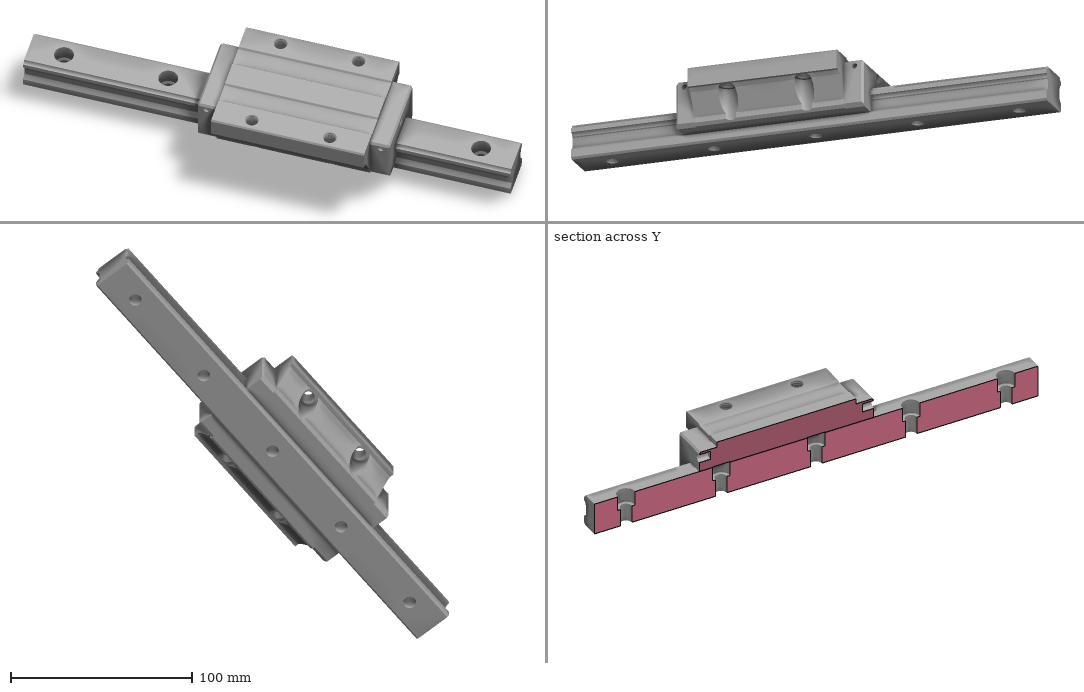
import cadquery as cq


RAIL_LENGTH = 280.0
RAIL_HEIGHT = 20.2
RAIL_HALF_WIDTH = 11.5
RAIL_NECK_HALF_WIDTH = 9.0
RAIL_BASE_CHAMFER = 1.0
RAIL_BASE_TOP_Z = 5.3
RAIL_NECK_BOTTOM_Z = 7.5
BALL_GROOVE_RADIUS = 2.0
LOWER_GROOVE_CENTER_Z = 13.7
RAIL_HOLE_COUNT = 5
RAIL_HOLE_PITCH = 60.0
RAIL_HOLE_DIAMETER = 7.0
COUNTERBORE_DIAMETER = 11.0
COUNTERBORE_DEPTH = 9.0

CARRIAGE_CENTER_X = 18.8
CARRIAGE_LENGTH = 110.3
CARRIAGE_BOTTOM_Z = 6.0

BLOCK_LENGTH = 88.0
BLOCK_HALF_WIDTH = 35.0
BLOCK_TOP_Z = 36.0
BLOCK_TOP_CHAMFER = 0.8
FLANGE_BOTTOM_Z = 25.0
FLANGE_ROOT_HALF_WIDTH = 32.8
SLOPE_TOP_HALF_WIDTH = 30.8
SLOPE_TOP_Z = 23.0
SKIRT_HALF_WIDTH = 23.8
SKIRT_TOP_Z = 10.5
SKIRT_BOTTOM_CHAMFER = 1.7

GROOVE_INNER_Y = 7.3
GROOVE_OUTER_Y = 20.0
GROOVE_DEPTH = 0.8

BOLT_SPACING_X = 44.8
BOLT_SPACING_Y = 56.8
THREAD_ROOT_DIAMETER = 7.5
THREAD_CREST_DIAMETER = 6.7
THREAD_TURNS = 9
BOLT_CLEARANCE_DIAMETER = 11.0

CAP_LENGTH = (CARRIAGE_LENGTH - BLOCK_LENGTH) / 2
CAP_HALF_WIDTH = 23.2
CAP_TOP_Z = 32.8
CAP_TOP_CHAMFER = 1.0
CAP_BOTTOM_CHAMFER = 2.2
CAP_END_CHAMFER = 1.0
GREASE_HOLE_DIAMETER = 5.0
GREASE_HOLE_DEPTH = 7.0
GREASE_HOLE_Z = 28.5
SIDE_HOLE_DIAMETER = 3.0
SIDE_HOLE_DEPTH = 4.2
SIDE_HOLE_Z = 29.5
SIDE_HOLE_INSET = 5.0


def mirrored_prism(right_side, length, center_x):
    """Extrude along X an outline given by its +Y half, listed from bottom to top."""
    left_side = [(-y, z) for y, z in reversed(right_side)]
    return (
        cq.Workplane("YZ", origin=(center_x - length / 2, 0, 0))
        .polyline(right_side + left_side)
        .close()
        .extrude(length)
    )


def ball_groove(side, z):
    """Round bar along one side of the rail that hollows out a track for the balls."""
    return (
        cq.Workplane("YZ", origin=(-RAIL_LENGTH / 2, side * RAIL_HALF_WIDTH, z))
        .circle(BALL_GROOVE_RADIUS)
        .extrude(RAIL_LENGTH)
    )


def rail_prism():
    groove_bottom_half_width = RAIL_HALF_WIDTH - BALL_GROOVE_RADIUS
    neck_top_z = LOWER_GROOVE_CENTER_Z - (groove_bottom_half_width - RAIL_NECK_HALF_WIDTH)
    half_profile = [
        (RAIL_HALF_WIDTH - RAIL_BASE_CHAMFER, 0),
        (RAIL_HALF_WIDTH, RAIL_BASE_CHAMFER),
        (RAIL_HALF_WIDTH, RAIL_BASE_TOP_Z),
        (RAIL_NECK_HALF_WIDTH, RAIL_NECK_BOTTOM_Z),
        (RAIL_NECK_HALF_WIDTH, neck_top_z),
        (groove_bottom_half_width, LOWER_GROOVE_CENTER_Z),
        (RAIL_HALF_WIDTH, LOWER_GROOVE_CENTER_Z),
        (RAIL_HALF_WIDTH, RAIL_HEIGHT),
    ]
    prism = mirrored_prism(half_profile, RAIL_LENGTH, 0)
    for side in (-1, 1):
        for groove_z in (LOWER_GROOVE_CENTER_Z, RAIL_HEIGHT):
            prism = prism.cut(ball_groove(side, groove_z))
    return prism


def make_rail():
    first_x = -RAIL_HOLE_PITCH * (RAIL_HOLE_COUNT - 1) / 2
    hole_places = [(first_x + i * RAIL_HOLE_PITCH, 0) for i in range(RAIL_HOLE_COUNT)]
    return (
        rail_prism()
        .faces(">Z")
        .workplane(centerOption="CenterOfBoundBox")
        .pushPoints(hole_places)
        .cboreHole(RAIL_HOLE_DIAMETER, COUNTERBORE_DIAMETER, COUNTERBORE_DEPTH)
    )


def block_body():
    half_profile = [
        (SKIRT_HALF_WIDTH - SKIRT_BOTTOM_CHAMFER, CARRIAGE_BOTTOM_Z),
        (SKIRT_HALF_WIDTH, CARRIAGE_BOTTOM_Z + SKIRT_BOTTOM_CHAMFER),
        (SKIRT_HALF_WIDTH, SKIRT_TOP_Z),
        (SLOPE_TOP_HALF_WIDTH, SLOPE_TOP_Z),
        (FLANGE_ROOT_HALF_WIDTH, FLANGE_BOTTOM_Z),
        (BLOCK_HALF_WIDTH, FLANGE_BOTTOM_Z),
        (BLOCK_HALF_WIDTH, BLOCK_TOP_Z - BLOCK_TOP_CHAMFER),
        (BLOCK_HALF_WIDTH - BLOCK_TOP_CHAMFER, BLOCK_TOP_Z),
        (GROOVE_OUTER_Y, BLOCK_TOP_Z),
        (GROOVE_OUTER_Y - GROOVE_DEPTH, BLOCK_TOP_Z - GROOVE_DEPTH),
        (GROOVE_INNER_Y + GROOVE_DEPTH, BLOCK_TOP_Z - GROOVE_DEPTH),
        (GROOVE_INNER_Y, BLOCK_TOP_Z),
    ]
    return mirrored_prism(half_profile, BLOCK_LENGTH, CARRIAGE_CENTER_X)


def bolt_places():
    return [
        (CARRIAGE_CENTER_X + x_side * BOLT_SPACING_X / 2, y_side * BOLT_SPACING_Y / 2)
        for x_side in (-1, 1)
        for y_side in (-1, 1)
    ]


def threaded_hole_core():
    """Space inside one threaded hole on the Z axis; the thread is a stack of ring grooves."""
    root_radius = THREAD_ROOT_DIAMETER / 2
    crest_radius = THREAD_CREST_DIAMETER / 2
    pitch = (BLOCK_TOP_Z - FLANGE_BOTTOM_Z) / THREAD_TURNS
    outline = [(0, FLANGE_BOTTOM_Z), (root_radius, FLANGE_BOTTOM_Z)]
    for turn in range(THREAD_TURNS):
        turn_z = FLANGE_BOTTOM_Z + turn * pitch
        outline.append((crest_radius, turn_z + pitch / 2))
        outline.append((root_radius, turn_z + pitch))
    outline.append((0, BLOCK_TOP_Z))
    return cq.Workplane("XZ").polyline(outline).close().revolve(360, (0, 0), (0, 1))


def bolt_clearance():
    """Space on the Z axis below one threaded hole, open down the sloping side of the block."""
    return (
        cq.Workplane("XY", origin=(0, 0, CARRIAGE_BOTTOM_Z))
        .circle(BOLT_CLEARANCE_DIAMETER / 2)
        .extrude(FLANGE_BOTTOM_Z - CARRIAGE_BOTTOM_Z)
    )


def make_block():
    block = block_body()
    for x, y in bolt_places():
        block = block.cut(threaded_hole_core().translate((x, y, 0)))
        block = block.cut(bolt_clearance().translate((x, y, 0)))
    return block


def cap_body(end):
    half_profile = [
        (CAP_HALF_WIDTH - CAP_BOTTOM_CHAMFER, CARRIAGE_BOTTOM_Z),
        (CAP_HALF_WIDTH, CARRIAGE_BOTTOM_Z + CAP_BOTTOM_CHAMFER),
        (CAP_HALF_WIDTH, CAP_TOP_Z - CAP_TOP_CHAMFER),
        (CAP_HALF_WIDTH - CAP_TOP_CHAMFER, CAP_TOP_Z),
    ]
    cap_center_x = CARRIAGE_CENTER_X + end * (CARRIAGE_LENGTH - CAP_LENGTH) / 2
    cap = mirrored_prism(half_profile, CAP_LENGTH, cap_center_x)

    bevel_above_z = CARRIAGE_BOTTOM_Z + CAP_BOTTOM_CHAMFER
    bevel_edges = (
        cap.faces(">X" if end > 0 else "<X")
        .edges()
        .filter(lambda edge: edge.Center().z > bevel_above_z)
    )
    return bevel_edges.chamfer(CAP_END_CHAMFER)


def make_cap(end):
    """End cap at the +X (end = 1) or -X (end = -1) end of the carriage."""
    cap = cap_body(end)
    end_x = CARRIAGE_CENTER_X + end * CARRIAGE_LENGTH / 2
    grease_hole = (
        cq.Workplane("YZ", origin=(end_x, 0, GREASE_HOLE_Z))
        .circle(GREASE_HOLE_DIAMETER / 2)
        .extrude(-end * GREASE_HOLE_DEPTH)
    )
    cap = cap.cut(grease_hole)

    side_hole_x = end_x - end * SIDE_HOLE_INSET
    for side in (-1, 1):
        side_hole = (
            cq.Workplane("XZ", origin=(side_hole_x, side * CAP_HALF_WIDTH, SIDE_HOLE_Z))
            .circle(SIDE_HOLE_DIAMETER / 2)
            .extrude(side * SIDE_HOLE_DEPTH)
        )
        cap = cap.cut(side_hole)
    return cap


def make_carriage():
    """Block and end caps in one piece, with a close-fitting channel for the rail."""
    carriage = make_block().union(make_cap(-1)).union(make_cap(1))
    return carriage.cut(rail_prism())


rail = make_rail()
carriage = make_carriage()

result = cq.Compound.makeCompound([rail.solids().val(), carriage.solids().val()])